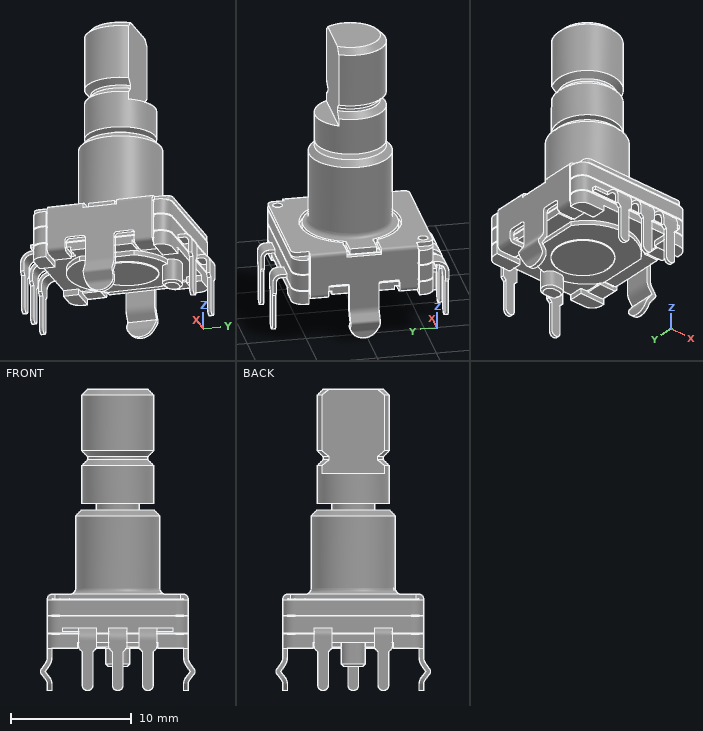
import cadquery as cq
import math


shaft_d = 6.0
shaft_top = 17.0
shaft_bottom = 7.5
shaft_chamfer = 0.5
neck_d = 3.6
groove_d = 5.0
groove_upper = 11.9
groove_lower = 10.65
groove_taper = (shaft_d - groove_d) / 2
flat_y = 1.5
flat_bottom = 10.0

body_x = 11.7
body_y = 12.0
corner_r = 1.0
seam_gap = 0.08
core_x = 9.6
core_y = 9.3
flange_top = -0.48
flange_bottom = -1.75
wafer_top = flange_bottom - seam_gap
wafer_bottom = -3.23
base_top = wafer_bottom - seam_gap
base_bottom = -4.0
feet_bottom = -4.5
foot_inner_x = 3.33
side_slot_y = 9.36
side_slot_floor = 5.4

bushing_d = 7.0
bushing_top = 7.0
bushing_chamfer = 0.5
bushing_fillet = 0.5
collar_d = bushing_d + 2 * bushing_fillet
key_width = 2.27
key_reach = 5.37

sheet = 0.4
plate_x = 10.4
plate_corner_r = 0.5
wall_width = 9.13
collar_clearance_d = 8.5
key_slot_width = 2.9
key_slot_bottom = -0.5
dimple_d = 0.8
dimple_x = 4.41
dimple_y = 5.26
leg_width = 2.5
leg_bottom = -8.0
upper_kink = -5.5
upper_kink_r = 0.83
bulge_z = -6.42
bulge_r = 0.27
leg_bulge_corner = 6.487
lower_kink = -7.275
lower_kink_r = 0.55
kink_shift = 0.12
window_top = -2.98
window_outer_y = 3.0
window_r = 0.25
lip_bottom = -4.15
lip_end_x = 4.0
lip_pocket_inner_y = 2.66
lip_clearance = 0.05
lip_pocket_top = lip_bottom + sheet + lip_clearance

pad_d = 9.0
pad_x = 7.65
pad_bottom = -4.4
standoff_d = 5.3
standoff_y = 0.55
peg_length = 2.0
peg_width = 1.56
peg_y = 4.5
peg_bottom = -6.0
peg_chamfer = 0.2

terminal_t = 0.3
terminal_top = -2.8
terminal_width = 1.5
terminal_pitch = 2.5
pin_width = 0.9
pin_bottom = -8.0
shoulder_top = -4.48
front_reach = 7.7
front_bend_r = 1.05
rear_reach = 7.2
rear_bend_r = 0.65
side_bar_x = 4.6
side_bar_y = 6.38


def block(x0, x1, y0, y1, z0, z1):
    """Box between two opposite corners."""
    box = cq.Workplane("XY").box(x1 - x0, y1 - y0, z1 - z0, centered=False)
    return box.translate((x0, y0, z0))


def centered_block(width, depth, z0, z1):
    """Box centred on the Z axis."""
    return block(-width / 2, width / 2, -depth / 2, depth / 2, z0, z1)


def disc(diameter, z0, z1):
    """Cylinder on the Z axis."""
    return cq.Workplane("XY").workplane(offset=z0).circle(diameter / 2).extrude(z1 - z0)


def rounded_outline(plane, corners):
    """Closed outline through (u, v, radius) corners; a radius of 0 leaves a corner sharp."""
    path = None
    count = len(corners)
    for i, (u, v, radius) in enumerate(corners):
        corner = cq.Vector(u, v)
        before = (cq.Vector(*corners[i - 1][:2]) - corner).normalized()
        after = (cq.Vector(*corners[(i + 1) % count][:2]) - corner).normalized()
        half_angle = before.getAngle(after) / 2
        setback = radius / math.tan(half_angle)
        start = corner + before * setback
        if path is None:
            path = cq.Workplane(plane).moveTo(start.x, start.y)
        else:
            path = path.lineTo(start.x, start.y)
        if radius > 0:
            bisector = (before + after).normalized()
            middle = corner + bisector * (radius / math.sin(half_angle) - radius)
            end = corner + after * setback
            path = path.threePointArc((middle.x, middle.y), (end.x, end.y))
    return path.close()


def layer(z0, z1):
    """One slab of the square body with round corners and a recess for each frame wall."""
    slab = centered_block(body_x, body_y, z0, z1).edges("|Z").fillet(corner_r)
    for side in (-1, 1):
        x0, x1 = sorted((side * side_slot_floor, side * body_x))
        slab = slab.cut(block(x0, x1, -side_slot_y / 2, side_slot_y / 2, z0, z1))
    return slab


def make_shaft():
    r = shaft_d / 2
    groove_r = groove_d / 2
    profile = (
        cq.Workplane("XZ")
        .moveTo(0, flange_bottom)
        .lineTo(neck_d / 2, flange_bottom)
        .lineTo(neck_d / 2, shaft_bottom)
        .lineTo(r, shaft_bottom)
        .lineTo(r, groove_lower)
        .lineTo(groove_r, groove_lower + groove_taper)
        .lineTo(groove_r, groove_upper - groove_taper)
        .lineTo(r, groove_upper)
        .lineTo(r, shaft_top - shaft_chamfer)
        .lineTo(r - shaft_chamfer, shaft_top)
        .lineTo(0, shaft_top)
        .close()
    )
    shaft = profile.revolve(360, (0, 0, 0), (0, 1, 0))
    return shaft.cut(block(-shaft_d, shaft_d, flat_y, shaft_d, flat_bottom, shaft_top))


def make_bushing():
    r = bushing_d / 2
    fillet_sag = bushing_fillet * (1 - math.sqrt(0.5))
    profile = (
        cq.Workplane("XZ")
        .moveTo(0, flange_top)
        .lineTo(collar_d / 2, flange_top)
        .lineTo(collar_d / 2, 0)
        .threePointArc((r + fillet_sag, fillet_sag), (r, bushing_fillet))
        .lineTo(r, bushing_top - bushing_chamfer)
        .lineTo(r - bushing_chamfer, bushing_top)
        .lineTo(0, bushing_top)
        .close()
    )
    bushing = profile.revolve(360, (0, 0, 0), (0, 1, 0))
    bushing = bushing.union(layer(flange_bottom, flange_top))
    bushing = bushing.union(centered_block(core_x, core_y, flange_bottom, -sheet))
    bushing = bushing.union(centered_block(2 * key_reach, key_width, flange_top, 0))
    return bushing.cut(disc(neck_d, flange_bottom, bushing_top))


def make_leg():
    """Snap-in leg on the +X side: a kinked strip with a semicircular tip."""
    outer = body_x / 2
    inner = outer - sheet
    slope_angle = math.atan2(leg_bulge_corner - outer, upper_kink - bulge_z)
    inside_bulge = leg_bulge_corner - sheet / math.cos(slope_angle)
    strip = rounded_outline("XZ", [
        (outer, window_top, 0),
        (outer, upper_kink, upper_kink_r),
        (leg_bulge_corner, bulge_z, bulge_r),
        (outer, lower_kink, lower_kink_r),
        (outer, leg_bottom, 0),
        (inner, leg_bottom, 0),
        (inner, lower_kink + kink_shift, lower_kink_r + sheet),
        (inside_bulge, bulge_z, 0),
        (inner, upper_kink - kink_shift, upper_kink_r + sheet),
        (inner, window_top, 0),
    ]).extrude(leg_width / 2, both=True)
    tip_r = leg_width / 2
    face = (
        cq.Workplane("YZ")
        .moveTo(-tip_r, 0)
        .lineTo(-tip_r, leg_bottom + tip_r)
        .threePointArc((0, leg_bottom), (tip_r, leg_bottom + tip_r))
        .lineTo(tip_r, 0)
        .close()
        .extrude(body_x)
    )
    return strip.intersect(face)


def make_window(side_y):
    """Opening between the leg and one lip, cut through both frame walls."""
    y0 = side_y * leg_width / 2
    y1 = side_y * window_outer_y
    return rounded_outline("YZ", [
        (y0, leg_bottom, 0),
        (y0, window_top, window_r),
        (y1, window_top, window_r),
        (y1, leg_bottom, 0),
    ]).extrude(body_x, both=True)


def make_frame():
    outer = body_x / 2
    frame = centered_block(plate_x, body_y, -sheet, 0).edges("|Z").fillet(plate_corner_r)
    wall = rounded_outline("XZ", [
        (0, 0, 0),
        (outer, 0, sheet),
        (outer, lip_bottom, sheet),
        (lip_end_x, lip_bottom, 0),
        (lip_end_x, lip_bottom + sheet, 0),
        (outer - sheet, lip_bottom + sheet, 0),
        (outer - sheet, -sheet, 0),
        (0, -sheet, 0),
    ]).extrude(wall_width / 2, both=True)
    for side_y in (-1, 1):
        wall = wall.cut(make_window(side_y))
    wall = wall.cut(block(0, body_x, -leg_width / 2, leg_width / 2, leg_bottom, window_top))
    wall = wall.union(make_leg())
    frame = frame.union(wall).union(wall.mirror("YZ"))
    frame = frame.cut(disc(collar_clearance_d, -sheet, 0))
    frame = frame.cut(centered_block(body_x, key_slot_width, key_slot_bottom, 0))
    for side in (-1, 1):
        dimple = disc(dimple_d, -sheet, 0).translate((side * dimple_x, side * dimple_y, 0))
        frame = frame.cut(dimple)
    return frame


def make_terminal(reach, bend_r):
    """Terminal leaving the -Y face at X = 0, bent down into a pin."""
    root_y = core_y / 2
    strip = rounded_outline("YZ", [
        (-root_y, terminal_top, 0),
        (-reach, terminal_top, bend_r),
        (-reach, pin_bottom, 0),
        (-reach + terminal_t, pin_bottom, 0),
        (-reach + terminal_t, terminal_top - terminal_t, bend_r - terminal_t),
        (-root_y, terminal_top - terminal_t, 0),
    ]).extrude(terminal_width / 2, both=True)
    half = terminal_width / 2
    pin_half = pin_width / 2
    shoulder_bottom = shoulder_top - (half - pin_half)
    face = (
        cq.Workplane("XZ")
        .moveTo(-half, 0)
        .lineTo(-half, shoulder_top)
        .lineTo(-pin_half, shoulder_bottom)
        .lineTo(-pin_half, pin_bottom + pin_half)
        .threePointArc((0, pin_bottom), (pin_half, pin_bottom + pin_half))
        .lineTo(pin_half, shoulder_bottom)
        .lineTo(half, shoulder_top)
        .lineTo(half, 0)
        .close()
        .extrude(reach)
    )
    return strip.intersect(face)


def make_base():
    """Lowest housing layer: four corner feet around a recessed underside with a round pad."""
    base = layer(feet_bottom, base_top)
    base = base.cut(centered_block(2 * foot_inner_x, body_y, feet_bottom, base_bottom))
    base = base.cut(centered_block(body_x, side_slot_y, feet_bottom, base_bottom))
    for side_x in (-1, 1):
        for side_y in (-1, 1):
            x0, x1 = sorted((side_x * lip_end_x, side_x * body_x))
            y0, y1 = sorted((side_y * lip_pocket_inner_y, side_y * side_slot_y / 2))
            base = base.cut(block(x0, x1, y0, y1, feet_bottom, lip_pocket_top))
    pad = disc(pad_d, pad_bottom, base_bottom)
    base = base.union(pad.intersect(centered_block(pad_x, pad_d, pad_bottom, base_bottom)))
    base = base.union(disc(standoff_d, feet_bottom, base_bottom).translate((0, standoff_y, 0)))
    peg = (
        cq.Workplane("XY")
        .workplane(offset=base_bottom)
        .center(0, peg_y)
        .slot2D(peg_length, peg_width)
        .extrude(peg_bottom - base_bottom)
        .faces("<Z")
        .chamfer(peg_chamfer)
    )
    return base.union(peg)


def make_housing():
    housing = layer(wafer_bottom, wafer_top).union(make_base())
    housing = housing.union(centered_block(core_x, core_y, base_top, flange_bottom))
    front_terminal = make_terminal(front_reach, front_bend_r)
    for step in (-1, 0, 1):
        housing = housing.union(front_terminal.translate((step * terminal_pitch, 0, 0)))
    rear_terminal = make_terminal(rear_reach, rear_bend_r).mirror("XZ")
    for side in (-1, 1):
        housing = housing.union(rear_terminal.translate((side * terminal_pitch, 0, 0)))
        x0, x1 = sorted((side * terminal_pitch, side * side_bar_x))
        bar = block(x0, x1, -side_bar_y, -core_y / 2, terminal_top - terminal_t, terminal_top)
        housing = housing.union(bar)
    return housing


shaft = make_shaft()
bushing = make_bushing()
frame = make_frame()
housing = make_housing()

bodies = [shaft, bushing, frame, housing]
result = cq.Compound.makeCompound([body.solids().val() for body in bodies])